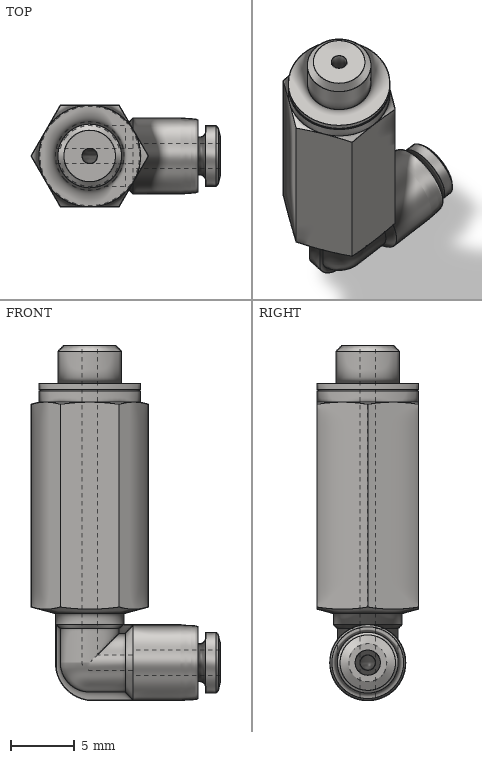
import cadquery as cq
import math

total_height = 28.0
across_flats = 8.0
corner_radius = across_flats / math.sqrt(3)
hex_bottom = 6.9
hex_top = 23.52
hex_chamfer_slope = math.tan(math.radians(15))
hex_bottom_face_radius = 2.8
washer_radius = across_flats / 2
washer_bottom = 24.42
washer_top = 25.0
washer_gap = 0.08
washer_gap_depth = 0.08
stud_radius = 5.0 / 2
stud_chamfer = 0.48
bore_radius = 1.2 / 2
tube_hole_radius = 2.0 / 2

arm_radius = 6.0 / 2
arm_axis_z = arm_radius
elbow_radius = 4.8 / 2
collar_radius = 5.4 / 2
collar_bottom = 2 * arm_radius
web_thickness = 1.2
arm_cone_start = 2.8
arm_cone_end = arm_cone_start + arm_radius - elbow_radius

taper_start = 7.17
taper_middle = 8.0
taper_middle_radius = 2.95
rim_start = 8.37
rim_start_radius = 5.8 / 2
socket_end = 8.55
socket_end_radius = 5.65 / 2
neck_radius = 3.0 / 2
neck_flare_start = 8.68
ring_start = 9.13
neck_fillet = ring_start - neck_flare_start
ring_radius = 4.8 / 2
ring_chamfer_start = 9.97
ring_crown_start = 10.15
ring_crown_radius = 2.18
ring_face_radius = 1.5
overall_length = 14.92
arm_end = overall_length - corner_radius


def cylinder(radius, bottom, top):
    return cq.Workplane("XY").workplane(offset=bottom).circle(radius).extrude(top - bottom)


def arm_axis_cylinder(radius, start, end):
    return (
        cq.Workplane("YZ")
        .workplane(offset=start)
        .center(0, arm_axis_z)
        .circle(radius)
        .extrude(end - start)
    )


def revolve_about_z(profile):
    """Turn a closed (radius, z) profile about the Z axis."""
    return cq.Workplane("XZ").polyline(profile).close().revolve(360, (0, 0), (0, 1))


def hexagonal_body():
    prism = (
        cq.Workplane("XY")
        .workplane(offset=hex_bottom)
        .polygon(6, 2 * corner_radius)
        .extrude(hex_top - hex_bottom)
    )
    bottom_rise = (corner_radius - hex_bottom_face_radius) * hex_chamfer_slope
    top_drop = (corner_radius - washer_radius) * hex_chamfer_slope
    chamfer_envelope = revolve_about_z([
        (0, hex_bottom),
        (hex_bottom_face_radius, hex_bottom),
        (corner_radius, hex_bottom + bottom_rise),
        (corner_radius, hex_top - top_drop),
        (washer_radius, hex_top),
        (0, hex_top),
    ])
    return prism.intersect(chamfer_envelope)


def washer_and_stud():
    seat = cylinder(washer_radius, hex_top, washer_bottom)
    gap = cylinder(washer_radius - washer_gap_depth, washer_bottom, washer_bottom + washer_gap)
    washer = cylinder(washer_radius, washer_bottom + washer_gap, washer_top)
    stud = cylinder(stud_radius, washer_top, total_height).faces(">Z").chamfer(stud_chamfer)
    return seat.union(gap).union(washer).union(stud)


def elbow():
    """Upright leg with its collar, closed at the corner by a ball."""
    leg = revolve_about_z([
        (0, arm_axis_z),
        (elbow_radius, arm_axis_z),
        (elbow_radius, collar_bottom - (collar_radius - elbow_radius)),
        (collar_radius, collar_bottom),
        (collar_radius, hex_bottom),
        (0, hex_bottom),
    ])
    ball = cq.Workplane("XY").sphere(elbow_radius).translate((0, 0, arm_axis_z))
    return leg.union(ball)


def web():
    """Flat-sided plate flush with the collar on its back and with the arm underneath."""
    height = 2 * arm_radius
    plate = (
        cq.Workplane("XY")
        .box(collar_radius + arm_cone_end, web_thickness, height, centered=(False, True, False))
        .translate((-collar_radius, 0, 0))
    )
    plate = plate.edges("|Y and <X and <Z").fillet(arm_radius)
    front_block = cq.Workplane("XY").box(
        arm_cone_end, web_thickness, height, centered=(False, True, False)
    )
    upper_block = cq.Workplane("XY").workplane(offset=arm_axis_z).box(
        2 * arm_cone_end, web_thickness, arm_radius, centered=(True, True, False)
    )
    collar_envelope = cylinder(collar_radius, 0, height).union(front_block)
    arm_envelope = arm_axis_cylinder(arm_radius, -arm_cone_end, arm_cone_end).union(upper_block)
    return plate.intersect(collar_envelope).intersect(arm_envelope)


def arm():
    """Turned arm, socket, neck and release ring along the X direction."""
    socket_profile = [
        (0, 0),
        (0, elbow_radius),
        (arm_cone_start, elbow_radius),
        (arm_cone_end, arm_radius),
        (taper_start, arm_radius),
        (taper_middle, taper_middle_radius),
        (rim_start, rim_start_radius),
        (socket_end, socket_end_radius),
        (socket_end, neck_radius),
        (neck_flare_start, neck_radius),
    ]
    ring_profile = [
        (ring_start, ring_radius),
        (ring_chamfer_start, ring_radius),
        (ring_crown_start, ring_crown_radius),
        (arm_end, ring_face_radius),
        (arm_end, 0),
    ]
    fillet_middle = (
        neck_flare_start + neck_fillet * math.sin(math.pi / 4),
        neck_radius + neck_fillet * (1 - math.cos(math.pi / 4)),
    )
    fillet_end = (ring_start, neck_radius + neck_fillet)
    turned = (
        cq.Workplane("XY")
        .polyline(socket_profile)
        .threePointArc(fillet_middle, fillet_end)
        .polyline(ring_profile, includeCurrent=True)
        .close()
        .revolve(360, (0, 0), (1, 0))
    )
    return turned.translate((0, 0, arm_axis_z))


def bore():
    """Flow passage down the body, round the elbow and out through a wider tube hole."""
    upright = cylinder(bore_radius, arm_axis_z, total_height)
    corner = cq.Workplane("XY").sphere(bore_radius).translate((0, 0, arm_axis_z))
    level = arm_axis_cylinder(bore_radius, 0, arm_end)
    tube_hole = arm_axis_cylinder(tube_hole_radius, arm_cone_end, arm_end)
    return upright.union(corner).union(level).union(tube_hole)


result = (
    hexagonal_body()
    .union(washer_and_stud())
    .union(elbow())
    .union(web())
    .union(arm())
    .cut(bore())
)